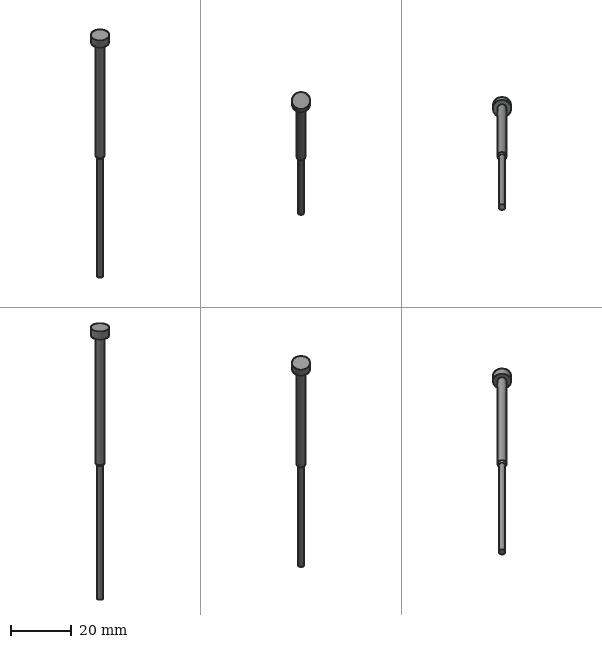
import cadquery as cq

total_length = 100.0
head_diameter = 6.0
head_height = 3.0
shank_diameter = 3.0
tip_diameter = 2.1
tip_length = 49.2
cone_height = 0.8

head_radius = head_diameter / 2
shank_radius = shank_diameter / 2
tip_radius = tip_diameter / 2
head_bottom = total_length - head_height
shank_bottom = tip_length + cone_height

profile = (
    cq.Workplane("XZ")
    .moveTo(0, 0)
    .lineTo(tip_radius, 0)
    .lineTo(tip_radius, tip_length)
    .lineTo(shank_radius, shank_bottom)
    .lineTo(shank_radius, head_bottom)
    .lineTo(head_radius, head_bottom)
    .lineTo(head_radius, total_length)
    .lineTo(0, total_length)
    .close()
)

result = profile.revolve(360, (0, 0, 0), (0, 1, 0))